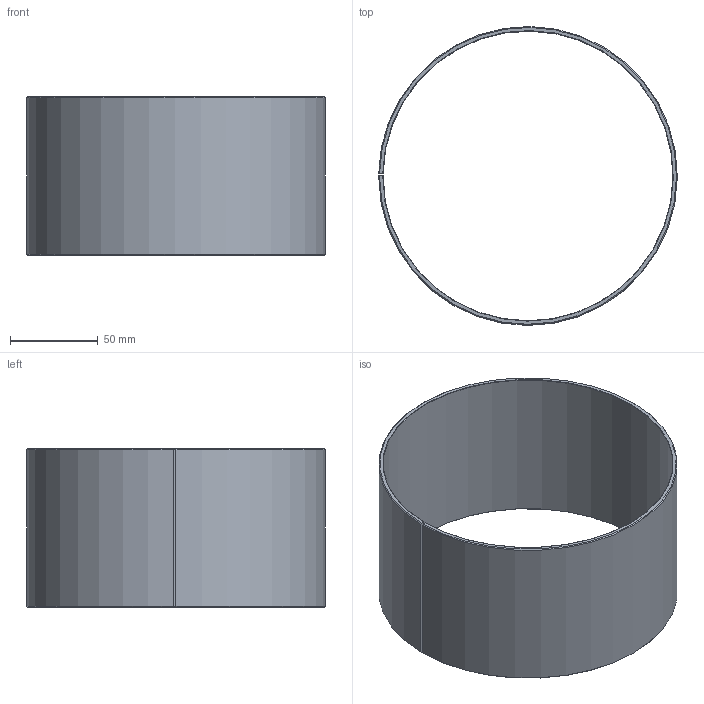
import cadquery as cq

outer_diameter = 170.0
wall_thickness = 2.5
height = 90.0
outer_chamfer = 0.5
inner_chamfer = 0.2
slit_angle = 1.0

outer_radius = outer_diameter / 2
inner_radius = outer_radius - wall_thickness
sweep_angle = 360.0 - slit_angle


def make_wall_section():
    """Wall cross-section on the -X side, with its four rim corners chamfered."""
    return (
        cq.Workplane("XZ")
        .moveTo(-outer_radius, outer_chamfer)
        .lineTo(-outer_radius + outer_chamfer, 0)
        .lineTo(-inner_radius - inner_chamfer, 0)
        .lineTo(-inner_radius, inner_chamfer)
        .lineTo(-inner_radius, height - inner_chamfer)
        .lineTo(-inner_radius - inner_chamfer, height)
        .lineTo(-outer_radius + outer_chamfer, height)
        .lineTo(-outer_radius, height - outer_chamfer)
        .close()
    )


axis_start = (0, 0, 0)
axis_end = (0, 1, 0)
result = make_wall_section().revolve(sweep_angle, axis_start, axis_end)